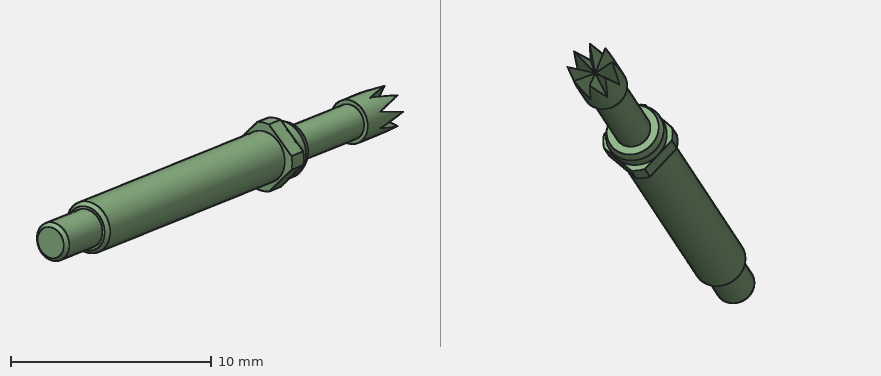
import cadquery as cq
import math

overall_length = 28.3

pin_diameter = 2.0
pin_length = 3.0
barrel_diameter = 2.7
barrel_length = 15.0
edge_chamfer = 0.2

nut_thickness = 1.0
nut_across_flats = 3.0
nut_across_corners = 3.6

collar_diameter = nut_across_flats
collar_length = 0.6
taper_length = 0.4

plunger_diameter = 1.85
crown_diameter = 2.3
crown_length = 3.0
tooth_count = 8
crown_centre_depth = 1.1
tooth_gap_depth = 1.8

barrel_rear = -barrel_length
pin_rear = barrel_rear - pin_length
collar_rear = nut_thickness
taper_rear = collar_rear + collar_length
taper_front = taper_rear + taper_length
crown_front = pin_rear + overall_length
crown_rear = crown_front - crown_length


def cylinder(diameter, rear, front):
    """Round bar along Y between two stations."""
    return cq.Workplane("XZ", origin=(0, rear, 0)).circle(diameter / 2).extrude(rear - front)


def chamfered_cylinder(diameter, rear, front):
    """Round bar along Y with its rear edge chamfered."""
    return cylinder(diameter, rear, front).faces("<Y").chamfer(edge_chamfer)


def square_nut():
    """Square plate turned 45 degrees, its corners rounded by a coaxial cylinder."""
    square = cq.Workplane("XZ").rect(nut_across_flats, nut_across_flats).extrude(-nut_thickness)
    square = square.rotate((0, 0, 0), (0, 1, 0), 45)
    return square.intersect(cylinder(nut_across_corners, 0, nut_thickness))


def collar_taper():
    """Cone from the collar diameter down to the barrel diameter."""
    cone = cq.Solid.makeCone(
        collar_diameter / 2,
        barrel_diameter / 2,
        taper_length,
        pnt=cq.Vector(0, taper_rear, 0),
        dir=cq.Vector(0, 1, 0),
    )
    return cq.Workplane(cone)


def crown_point(radius, angle, depth):
    """Point at a radius and angle about Y, at a depth below the tooth tips."""
    angle = math.radians(angle)
    return cq.Vector(radius * math.cos(angle), crown_front - depth, radius * math.sin(angle))


def tooth_gap(tip_angle):
    """Wedge between two tooth tips: two flat flanks fan out from the crown centre."""
    pitch = 360 / tooth_count
    reach = 1.5
    outer_radius = reach * crown_diameter / 2
    tip_depth = crown_centre_depth * (1 - reach)
    root_depth = crown_centre_depth + reach * (tooth_gap_depth - crown_centre_depth)

    centre = crown_point(0, 0, crown_centre_depth)
    top = crown_point(0, 0, tip_depth)
    tip_a = crown_point(outer_radius, tip_angle, tip_depth)
    tip_b = crown_point(outer_radius, tip_angle + pitch, tip_depth)
    root = crown_point(outer_radius, tip_angle + pitch / 2, root_depth)

    triangles = [
        (centre, tip_a, root),
        (centre, root, tip_b),
        (root, tip_a, tip_b),
        (top, tip_b, tip_a),
        (centre, top, tip_a),
        (centre, tip_b, top),
    ]
    faces = [cq.Face.makeFromWires(cq.Wire.makePolygon(corners, close=True)) for corners in triangles]
    return cq.Workplane(cq.Solid.makeSolid(cq.Shell.makeShell(faces)))


def crown():
    """Cylinder cut into a ring of pointed teeth around a sunken centre."""
    body = cylinder(crown_diameter, crown_rear, crown_front)
    for tooth in range(tooth_count):
        body = body.cut(tooth_gap(tooth * 360 / tooth_count))
    return body


result = (
    chamfered_cylinder(pin_diameter, pin_rear, barrel_rear)
    .union(chamfered_cylinder(barrel_diameter, barrel_rear, 0))
    .union(square_nut())
    .union(cylinder(collar_diameter, collar_rear, taper_rear))
    .union(collar_taper())
    .union(cylinder(plunger_diameter, taper_front, crown_rear))
    .union(crown())
)